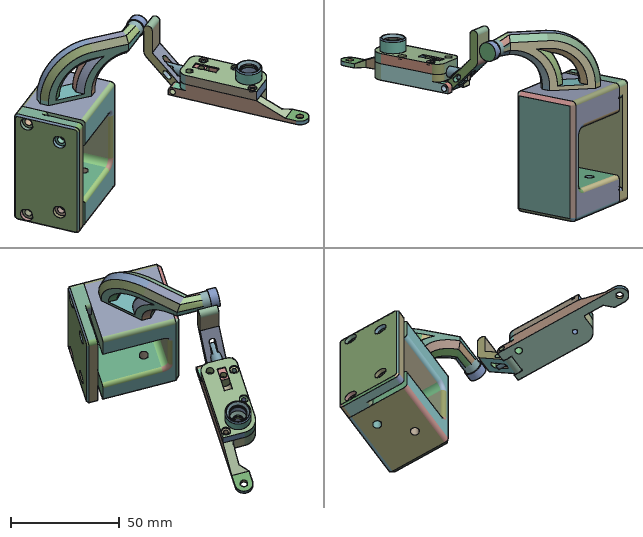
import cadquery as cq
import math

BOX_WIDTH = 32.5
BOX_HEIGHT = 57.9
BOX_DEPTH = 44.5
COVER_DEPTH = 7.6
LONG_EDGE_RADIUS = 2.0
BACK_CHAMFER = 1.9
FRONT_EDGE_CHAMFER = 0.9

WINDOW_BACK_Y = 39.2
WINDOW_TOP_Z = 43.7
WINDOW_FLOOR_BACK_Z = 14.5
WINDOW_FLOOR_FRONT_Z = 13.8
WINDOW_CORNER_RADIUS = 3.0
WINDOW_RIM_RADIUS = 1.9

RECESS_DEPTH = 2.5
PAD_LENGTH = 13.8
PAD_HEIGHT = 7.5
PAD_EDGE_RADIUS = 1.5
COVER_SCREW_DIAMETER = 3.4
COVER_HEAD_DIAMETER = 6.1
COVER_HEAD_DEPTH = 2.0
OUTER_SCREW_X = 6.5
INNER_SCREW_X = 22.7
OUTER_SCREW_INSET = 4.0
INNER_SCREW_INSET = 9.7

ARM_WIDTH = 10.0
ARM_THICKNESS = 9.5
ARM_CHAMFER = 2.9
ARM_ANGLE = 45.0
ARM_BASE_X = 9.7
ARM_BASE_Y = 17.6
ARM_FOOT_HEIGHT = 2.0
ARM_BEND_RADIUS = 20.2
LEG_SPACING = 17.7
ARM_AXIS_Z = BOX_HEIGHT + ARM_FOOT_HEIGHT + ARM_BEND_RADIUS
KNEE_DISTANCE = LEG_SPACING + ARM_BEND_RADIUS
SPOUT_DIAMETER = 8.0
SPOUT_START_Y = 53.3
CAP_DIAMETER = 9.0
CAP_START_Y = 57.1
CAP_END_Y = 61.3
ACCESS_HOLE_DIAMETER = 4.0

LATCH_BOTTOM_Z = 56.5
SEAM_Z = 64.5
LID_TOP_Z = 69.4
LATCH_FRONT_Y = 44.6
LATCH_BACK_Y = 61.9
LID_LEFT_X = 62.8
LID_RIGHT_X = 102.4
LEFT_CORNER_RADIUS = 4.0
BACK_CORNER_RADIUS = 6.8

HINGE_X = 60.4
HINGE_Z = 58.6
KNUCKLE_RADIUS = 2.3
KNUCKLE_BORE = 2.8
STEP_Z = HINGE_Z + KNUCKLE_RADIUS

TAIL_THICKNESS = 2.0
TAIL_BACK_Y = 49.2
TAIL_SLOPE_END_X = 116.8
EYE_X = 122.2
EYE_RADIUS = 4.2
EYE_HOLE_DIAMETER = 3.4
TAIL_CORNER_RADIUS = 1.0

LID_SCREW_DIAMETER = 2.1
LID_HEAD_DIAMETER = 4.0
LID_HEAD_DEPTH = 1.0
LID_SCREW_POSITIONS = [(69.5, 59.5), (85.4, 59.5), (99.3, 46.9)]
MOUNT_HOLE_DIAMETER = 3.4
MOUNT_HOLE_X = 67.1
MOUNT_HOLE_Y = 48.6
SLOT_START_X = 67.1
SLOT_END_X = 78.8
SLOT_WIDTH = 3.8
CAVITY_WIDTH = 7.3
CAVITY_ROOF_Z = LID_TOP_Z - 0.6

KNOB_X = 94.4
KNOB_DIAMETER = 12.1
KNOB_TOP_Z = 75.5
KNOB_RIM_CHAMFER = 0.6

PLUNGER_Y = 54.1
PLUNGER_DIAMETER = 5.2
TONGUE_START_X = 51.9
TONGUE_THICKNESS = 2.4
TONGUE_HOLE_DIAMETER = 2.4
TONGUE_HOLE_X = 54.7
PLUNGER_END_X = 73.0
TAB_TOP_Z = CAVITY_ROOF_Z
TAB_HOLE_DIAMETER = 2.9
TAB_HOLE_X = 70.6
PLUNGER_LEVER_GAP = 1.0

LEVER_THICKNESS = 4.3
LEVER_WIDTH = 9.1
LEVER_GRIP_X = 46.0
LEVER_TOP_Z = 88.2
LEVER_HINGE_BORE = 2.1
LEVER_SLOT_WIDTH = 3.0
LEVER_SLOT_NEAR = 2.3
LEVER_SLOT_FAR = 14.4
CAM_SLOT_LENGTH = 2.3


def hole_y(x, z, diameter, y_start, y_end):
    """Cylinder along Y."""
    return cq.Workplane(cq.Solid.makeCylinder(
        diameter / 2, y_end - y_start, cq.Vector(x, y_start, z), cq.Vector(0, 1, 0)))


def hole_z(x, y, diameter, z_start, z_end):
    """Cylinder along Z."""
    return cq.Workplane(cq.Solid.makeCylinder(
        diameter / 2, z_end - z_start, cq.Vector(x, y, z_start), cq.Vector(0, 0, 1)))


def holder_profile(y_start, y_end):
    """Box with rounded long edges between two Y positions."""
    return (
        cq.Workplane("XY")
        .box(BOX_WIDTH, y_end - y_start, BOX_HEIGHT, centered=False)
        .translate((0, y_start, 0))
        .edges("|Y")
        .fillet(LONG_EDGE_RADIUS)
    )


def leg_position(distance):
    """Plan position at a distance along the arm from its first leg."""
    along = math.radians(ARM_ANGLE)
    return (ARM_BASE_X + distance * math.cos(along), ARM_BASE_Y + distance * math.sin(along))


def make_holder():
    block = holder_profile(COVER_DEPTH, BOX_DEPTH).faces(">Y").chamfer(BACK_CHAMFER)
    window = (
        cq.Workplane("YZ")
        .moveTo(0, WINDOW_TOP_Z)
        .lineTo(WINDOW_BACK_Y, WINDOW_TOP_Z)
        .lineTo(WINDOW_BACK_Y, WINDOW_FLOOR_BACK_Z)
        .lineTo(COVER_DEPTH, WINDOW_FLOOR_FRONT_Z)
        .lineTo(0, WINDOW_FLOOR_FRONT_Z)
        .close()
        .extrude(BOX_WIDTH)
        .edges("|X and >Y")
        .fillet(WINDOW_CORNER_RADIUS)
    )
    block = block.cut(window)
    rim = cq.selectors.BoxSelector(
        (-1.3, COVER_DEPTH + 0.1, WINDOW_FLOOR_FRONT_Z - 0.6),
        (BOX_WIDTH + 1.3, WINDOW_BACK_Y + 0.6, WINDOW_TOP_Z + 0.6),
    )
    block = block.faces("<X or >X").edges(rim).fillet(WINDOW_RIM_RADIUS)
    access_holes = (
        cq.Workplane("XY")
        .pushPoints([leg_position(0), leg_position(LEG_SPACING)])
        .circle(ACCESS_HOLE_DIAMETER / 2)
        .extrude(WINDOW_FLOOR_BACK_Z + 1.3)
    )
    return block.cut(access_holes)


def make_cover():
    cover = holder_profile(0, COVER_DEPTH).faces("<Y").chamfer(FRONT_EDGE_CHAMFER)
    recess_y = COVER_DEPTH - RECESS_DEPTH
    gap = cq.Workplane("XY").box(BOX_WIDTH, RECESS_DEPTH, BOX_HEIGHT, centered=False)
    lower_pad = (
        cq.Workplane("XY")
        .box(PAD_LENGTH, RECESS_DEPTH, PAD_HEIGHT, centered=False)
        .edges("|Y and ((<X and >Z) or (>X and <Z))")
        .fillet(PAD_EDGE_RADIUS)
    )
    upper_pad = lower_pad.mirror("XY", (0, 0, BOX_HEIGHT / 2))
    gap = gap.cut(lower_pad).cut(upper_pad)
    cover = cover.cut(gap.translate((0, recess_y, 0)))
    for x, inset in ((OUTER_SCREW_X, OUTER_SCREW_INSET), (INNER_SCREW_X, INNER_SCREW_INSET)):
        for z in (inset, BOX_HEIGHT - inset):
            cover = cover.cut(hole_y(x, z, COVER_SCREW_DIAMETER, 0, COVER_DEPTH))
            cover = cover.cut(hole_y(x, z, COVER_HEAD_DIAMETER, 0, COVER_HEAD_DEPTH))
    return cover


def arm_section(depth, width):
    """Cross-section of the arm: a rectangle with chamfered corners."""
    return (
        cq.Sketch()
        .rect(depth, width)
        .vertices()
        .chamfer(ARM_CHAMFER)
    )


def make_arm():
    arm = None
    for start in (0, LEG_SPACING):
        path = (
            cq.Workplane("XZ")
            .moveTo(start, 0)
            .lineTo(start, ARM_FOOT_HEIGHT)
            .radiusArc((start + ARM_BEND_RADIUS, ARM_FOOT_HEIGHT + ARM_BEND_RADIUS), ARM_BEND_RADIUS)
        )
        if start + ARM_BEND_RADIUS < KNEE_DISTANCE:
            path = path.lineTo(KNEE_DISTANCE, ARM_FOOT_HEIGHT + ARM_BEND_RADIUS)
        leg = (
            cq.Workplane("XY", origin=(start, 0, 0))
            .placeSketch(arm_section(ARM_THICKNESS, ARM_WIDTH))
            .sweep(path)
        )
        arm = leg if arm is None else arm.union(leg)
    foot = cq.Workplane("XY").box(
        LEG_SPACING, ARM_WIDTH, ARM_FOOT_HEIGHT, centered=(False, True, False))
    arm = arm.union(foot).rotate((0, 0, 0), (0, 0, 1), ARM_ANGLE)
    arm = arm.translate((ARM_BASE_X, ARM_BASE_Y, BOX_HEIGHT))

    knee_x, knee_y = leg_position(KNEE_DISTANCE)
    along = math.radians(ARM_ANGLE)
    knee_plane = cq.Plane(
        (knee_x, knee_y, ARM_AXIS_Z),
        (-math.sin(along), math.cos(along), 0),
        (math.cos(along), math.sin(along), 0),
    )
    knee_face = cq.selectors.NearestToPointSelector((knee_x, knee_y, ARM_AXIS_Z))
    knee = (
        cq.Workplane(knee_plane)
        .placeSketch(arm_section(ARM_WIDTH, ARM_THICKNESS))
        .extrude(-1.3)
        .faces(knee_face)
        .wires()
        .val()
    )
    spout_plane = cq.Plane((knee_x, SPOUT_START_Y, ARM_AXIS_Z), (-1, 0, 0), (0, 1, 0))
    ring = cq.Workplane(spout_plane).circle(SPOUT_DIAMETER / 2).wires().val()
    arm = arm.union(cq.Workplane(cq.Solid.makeLoft([knee, ring], True)))
    arm = arm.union(hole_y(knee_x, ARM_AXIS_Z, SPOUT_DIAMETER, SPOUT_START_Y, CAP_START_Y))
    return arm.union(hole_y(knee_x, ARM_AXIS_Z, CAP_DIAMETER, CAP_START_Y, CAP_END_Y))


def latch_plan(z_start, z_end):
    """Outline shared by the lid and the upper part of the base."""
    body = (
        cq.Workplane("XY")
        .box(LID_RIGHT_X - LID_LEFT_X, LATCH_BACK_Y - LATCH_FRONT_Y, z_end - z_start, centered=False)
        .translate((LID_LEFT_X, LATCH_FRONT_Y, z_start))
    )
    body = body.edges("|Z and <X").fillet(LEFT_CORNER_RADIUS)
    return body.edges("|Z and >X and >Y").fillet(BACK_CORNER_RADIUS)


def plunger_bore():
    return cq.Workplane(cq.Solid.makeCylinder(
        PLUNGER_DIAMETER / 2, SLOT_END_X - LID_LEFT_X,
        cq.Vector(LID_LEFT_X, PLUNGER_Y, SEAM_Z), cq.Vector(1, 0, 0)))


def knob_bore():
    """Stepped and tapered bore, as radius and height pairs from the rim down."""
    profile = [
        (5.3, KNOB_TOP_Z), (4.2, KNOB_TOP_Z - 1.3), (4.2, KNOB_TOP_Z - 2.0), (3.98, KNOB_TOP_Z - 2.0),
        (3.98, KNOB_TOP_Z - 3.0), (4.2, KNOB_TOP_Z - 3.0),
        (4.2, LID_TOP_Z - 0.6), (2.59, LID_TOP_Z - 1.9), (2.59, LID_TOP_Z - 3.2), (2.3, LID_TOP_Z - 3.2),
        (2.3, SEAM_Z), (1.2, SEAM_Z - 0.8), (1.2, LATCH_BOTTOM_Z),
    ]
    outline = cq.Workplane("XZ").moveTo(0, KNOB_TOP_Z)
    for radius, z in profile:
        outline = outline.lineTo(radius, z)
    outline = outline.lineTo(0, LATCH_BOTTOM_Z).close()
    return outline.revolve(360, (0, 0, 0), (0, 1, 0)).translate((KNOB_X, PLUNGER_Y, 0))


def make_base():
    side = (
        cq.Workplane("XZ")
        .moveTo(HINGE_X - KNUCKLE_RADIUS, LATCH_BOTTOM_Z)
        .lineTo(EYE_X + EYE_RADIUS, LATCH_BOTTOM_Z)
        .lineTo(EYE_X + EYE_RADIUS, LATCH_BOTTOM_Z + TAIL_THICKNESS)
        .lineTo(TAIL_SLOPE_END_X, LATCH_BOTTOM_Z + TAIL_THICKNESS)
        .lineTo(LID_RIGHT_X, SEAM_Z)
        .lineTo(LID_LEFT_X + LEFT_CORNER_RADIUS, SEAM_Z)
        .lineTo(LID_LEFT_X + LEFT_CORNER_RADIUS, STEP_Z)
        .lineTo(HINGE_X, STEP_Z)
        .radiusArc((HINGE_X - KNUCKLE_RADIUS, HINGE_Z), -KNUCKLE_RADIUS)
        .close()
        .extrude(-LATCH_BACK_Y)
    )
    eye_y = LATCH_FRONT_Y + EYE_RADIUS
    eye_back_y = eye_y + EYE_RADIUS
    height = SEAM_Z - LATCH_BOTTOM_Z
    main = (
        cq.Workplane("XY", origin=(0, 0, LATCH_BOTTOM_Z))
        .moveTo(0, LATCH_FRONT_Y)
        .lineTo(LID_RIGHT_X, LATCH_FRONT_Y)
        .lineTo(LID_RIGHT_X, LATCH_BACK_Y)
        .lineTo(0, LATCH_BACK_Y)
        .close()
        .extrude(height)
        .edges("|Z and >X and >Y")
        .fillet(BACK_CORNER_RADIUS)
    )
    tail = (
        cq.Workplane("XY", origin=(0, 0, LATCH_BOTTOM_Z))
        .moveTo(LID_RIGHT_X - 1.3, LATCH_FRONT_Y)
        .lineTo(EYE_X, LATCH_FRONT_Y)
        .radiusArc((EYE_X, eye_back_y), -EYE_RADIUS)
        .lineTo(TAIL_SLOPE_END_X, eye_back_y)
        .lineTo(TAIL_SLOPE_END_X - (eye_back_y - TAIL_BACK_Y), TAIL_BACK_Y)
        .lineTo(LID_RIGHT_X - 1.3, TAIL_BACK_Y)
        .close()
        .extrude(height)
    )
    base = side.intersect(main.union(tail))
    base = base.union(latch_plan(STEP_Z, SEAM_Z))
    inner_corner = cq.selectors.BoxSelector(
        (LID_RIGHT_X - 0.1, TAIL_BACK_Y - 0.1, LATCH_BOTTOM_Z),
        (LID_RIGHT_X + 0.1, TAIL_BACK_Y + 0.1, SEAM_Z),
    )
    base = base.edges(inner_corner).edges("|Z").fillet(TAIL_CORNER_RADIUS)
    lever_slot = cq.Workplane("XY").box(
        3 * KNUCKLE_RADIUS, LEVER_WIDTH, STEP_Z - LATCH_BOTTOM_Z,
        centered=(False, True, False),
    ).translate((HINGE_X - 2 * KNUCKLE_RADIUS, PLUNGER_Y, LATCH_BOTTOM_Z))
    base = base.cut(lever_slot)
    base = base.cut(hole_y(HINGE_X, HINGE_Z, KNUCKLE_BORE, LATCH_FRONT_Y, LATCH_BACK_Y))
    base = base.cut(hole_z(EYE_X, eye_y, EYE_HOLE_DIAMETER, LATCH_BOTTOM_Z, SEAM_Z))
    base = base.cut(hole_z(MOUNT_HOLE_X, MOUNT_HOLE_Y, MOUNT_HOLE_DIAMETER, LATCH_BOTTOM_Z, SEAM_Z))
    return base.cut(plunger_bore()).cut(knob_bore())


def make_lid():
    lid = latch_plan(SEAM_Z, LID_TOP_Z)
    knob = hole_z(KNOB_X, PLUNGER_Y, KNOB_DIAMETER, SEAM_Z, KNOB_TOP_Z)
    knob = knob.faces(">Z").chamfer(KNOB_RIM_CHAMFER)
    lid = lid.union(knob)
    for x, y in LID_SCREW_POSITIONS:
        lid = lid.cut(hole_z(x, y, LID_SCREW_DIAMETER, SEAM_Z, LID_TOP_Z))
        lid = lid.cut(hole_z(x, y, LID_HEAD_DIAMETER, LID_TOP_Z - LID_HEAD_DEPTH, LID_TOP_Z))
    lid = lid.cut(hole_z(MOUNT_HOLE_X, MOUNT_HOLE_Y, MOUNT_HOLE_DIAMETER, SEAM_Z, LID_TOP_Z))
    slot = cq.Workplane("XY").box(
        SLOT_END_X - SLOT_START_X, SLOT_WIDTH, LID_TOP_Z - SEAM_Z, centered=(False, True, False)
    ).translate((SLOT_START_X, PLUNGER_Y, SEAM_Z))
    cavity = cq.Workplane("XY").box(
        SLOT_END_X - SLOT_START_X, CAVITY_WIDTH, CAVITY_ROOF_Z - SEAM_Z, centered=(False, True, False)
    ).translate((SLOT_START_X, PLUNGER_Y, SEAM_Z))
    return lid.cut(slot).cut(cavity).cut(plunger_bore()).cut(knob_bore())


def make_lever():
    radius = LEVER_THICKNESS / 2
    diagonal = radius / math.sqrt(2)
    bend_z = HINGE_X + HINGE_Z - LEVER_GRIP_X
    bend = radius * math.tan(math.pi / 8)
    lever = (
        cq.Workplane("XZ", origin=(0, PLUNGER_Y + LEVER_WIDTH / 2, 0))
        .moveTo(HINGE_X - diagonal, HINGE_Z - diagonal)
        .lineTo(LEVER_GRIP_X - radius, bend_z - bend)
        .lineTo(LEVER_GRIP_X - radius, LEVER_TOP_Z - radius)
        .threePointArc((LEVER_GRIP_X, LEVER_TOP_Z), (LEVER_GRIP_X + radius, LEVER_TOP_Z - radius))
        .lineTo(LEVER_GRIP_X + radius, bend_z + bend)
        .lineTo(HINGE_X + diagonal, HINGE_Z + diagonal)
        .threePointArc((HINGE_X + diagonal, HINGE_Z - diagonal), (HINGE_X - diagonal, HINGE_Z - diagonal))
        .close()
        .extrude(LEVER_WIDTH)
    )
    outer_bend = cq.selectors.NearestToPointSelector((LEVER_GRIP_X - radius, PLUNGER_Y, bend_z - bend))
    lever = lever.edges("|Y").edges(outer_bend).fillet(LEVER_THICKNESS)
    lever = lever.cut(hole_y(HINGE_X, HINGE_Z, LEVER_HINGE_BORE, LATCH_FRONT_Y, LATCH_BACK_Y))
    middle = (LEVER_SLOT_NEAR + LEVER_SLOT_FAR) / 2 / math.sqrt(2)
    slot_plane = cq.Plane((HINGE_X - middle, PLUNGER_Y, HINGE_Z + middle), (-1, 0, 1), (1, 0, 1))
    tongue_slot = cq.Workplane(slot_plane).slot2D(
        LEVER_SLOT_FAR - LEVER_SLOT_NEAR, LEVER_SLOT_WIDTH).extrude(LEVER_THICKNESS, both=True)
    shift = CAM_SLOT_LENGTH / 2 / math.sqrt(2)
    cam_plane = cq.Plane((TONGUE_HOLE_X + shift, PLUNGER_Y, SEAM_Z - shift), (-1, 0, 1), (0, -1, 0))
    cam_slot = cq.Workplane(cam_plane).slot2D(
        CAM_SLOT_LENGTH + TONGUE_HOLE_DIAMETER, TONGUE_HOLE_DIAMETER).extrude(LEVER_WIDTH, both=True)
    return lever.cut(tongue_slot).cut(cam_slot)


def make_plunger():
    length = PLUNGER_END_X - TONGUE_START_X
    radius = PLUNGER_DIAMETER / 2
    rod = cq.Workplane(cq.Solid.makeCylinder(
        radius, length, cq.Vector(TONGUE_START_X, PLUNGER_Y, SEAM_Z), cq.Vector(1, 0, 0)))
    cut_sum = HINGE_X + HINGE_Z + (LEVER_THICKNESS / 2 + PLUNGER_LEVER_GAP) * math.sqrt(2)
    cheeks = (
        cq.Workplane("XZ", origin=(0, PLUNGER_Y, 0))
        .moveTo(0, SEAM_Z - radius)
        .lineTo(cut_sum - SEAM_Z + radius, SEAM_Z - radius)
        .lineTo(cut_sum - SEAM_Z - radius, SEAM_Z + radius)
        .lineTo(0, SEAM_Z + radius)
        .close()
        .extrude(PLUNGER_DIAMETER, both=True)
    )
    tongue = cq.Workplane("XY").box(
        length, TONGUE_THICKNESS, PLUNGER_DIAMETER, centered=(False, True, True)
    ).translate((TONGUE_START_X, PLUNGER_Y, SEAM_Z))
    plunger = rod.cut(cheeks).union(tongue.intersect(rod))
    tab = cq.Workplane("XY").box(
        PLUNGER_END_X - SLOT_START_X, CAVITY_WIDTH, TAB_TOP_Z - SEAM_Z, centered=(False, True, False)
    ).translate((SLOT_START_X, PLUNGER_Y, SEAM_Z))
    plunger = plunger.union(tab)
    plunger = plunger.cut(hole_z(TAB_HOLE_X, PLUNGER_Y, TAB_HOLE_DIAMETER, SEAM_Z, TAB_TOP_Z))
    return plunger.cut(hole_y(TONGUE_HOLE_X, SEAM_Z, TONGUE_HOLE_DIAMETER, LATCH_FRONT_Y, LATCH_BACK_Y))


holder = make_holder()
cover = make_cover()
arm = make_arm()
latch_base = make_base()
lid = make_lid()
lever = make_lever()
plunger = make_plunger()

result = cq.Compound.makeCompound([
    holder.val(), cover.val(), arm.val(), latch_base.val(), lid.val(), lever.val(), plunger.val(),
])